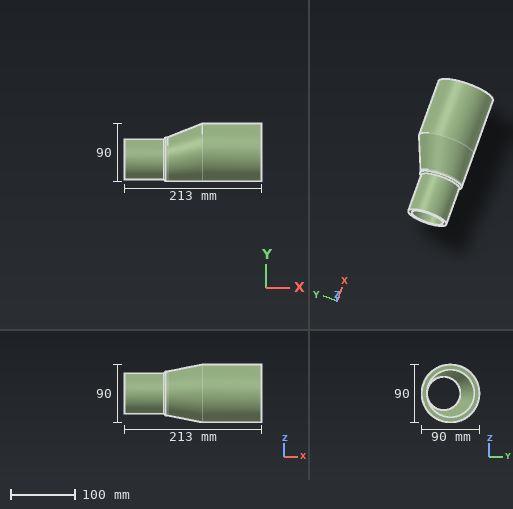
import cadquery as cq

total_length = 213.0
large_diameter = 90.0
large_bore = 73.7
small_diameter = 63.0
small_bore = 51.3
collar_diameter = 68.8

spigot_end = 61.1
collar_chamfer = (collar_diameter - small_diameter) / 2
collar_start = spigot_end + collar_chamfer
cone_start = 66.9
cone_end = 120.8

small_axis_y = (collar_diameter - large_diameter) / 2


def frustum(start, end, start_diameter, end_diameter, start_y, end_y):
    """Solid between two circles facing along X, whose centres may differ in Y."""
    return (
        cq.Workplane("YZ", origin=(start, 0, 0))
        .center(start_y, 0)
        .circle(start_diameter / 2)
        .workplane(offset=end - start)
        .center(end_y - start_y, 0)
        .circle(end_diameter / 2)
        .loft(ruled=True, combine=True)
    )


def cylinder(start, end, diameter, axis_y):
    """Solid cylinder along X."""
    return cq.Workplane("YZ", origin=(start, axis_y, 0)).circle(diameter / 2).extrude(end - start)


spigot = cylinder(0, spigot_end, small_diameter, small_axis_y)
chamfer = frustum(spigot_end, collar_start, small_diameter, collar_diameter, small_axis_y, small_axis_y)
collar = cylinder(collar_start, cone_start, collar_diameter, small_axis_y)
cone = frustum(cone_start, cone_end, collar_diameter, large_diameter, small_axis_y, 0)
large_pipe = cylinder(cone_end, total_length, large_diameter, 0)
body = spigot.union(chamfer).union(collar).union(cone).union(large_pipe)

small_hole = cylinder(0, cone_start, small_bore, small_axis_y)
cone_hole = frustum(cone_start, cone_end, small_bore, large_bore, small_axis_y, 0)
large_hole = cylinder(cone_end, total_length, large_bore, 0)
result = body.cut(small_hole).cut(cone_hole).cut(large_hole)